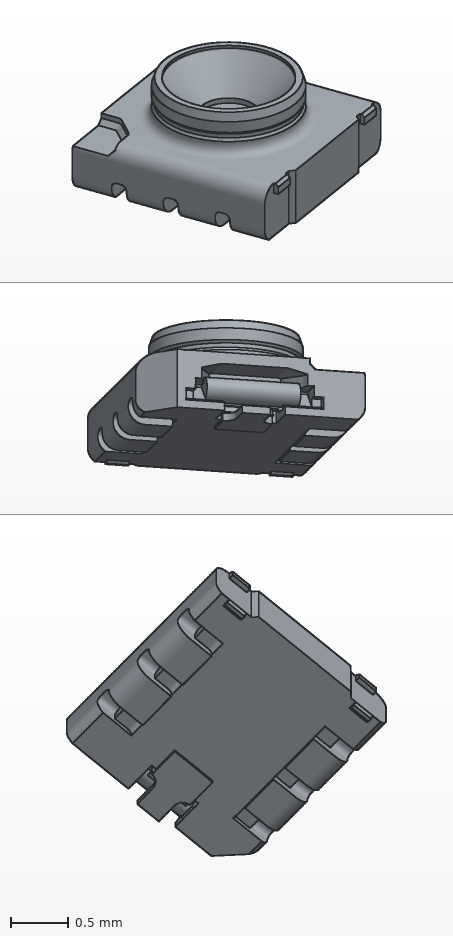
import cadquery as cq
import math


body_side = 2.0
half_side = body_side / 2
body_top = 0.55
standoff = 0.025
edge_radius = 0.15
corner_cut = 0.3
overall_length = 2.05
total_height = 0.95
overlap = 0.02

end_recess = 0.045
raised_half_width = 0.541
ear_inner = 0.642
ear_outer = 0.845
ear_bottom = 0.45
ear_chamfer = 0.029
ear_foot_width = 0.082
ear_foot_taper = 0.025

notch_centers = (-0.525, 0.0, 0.525)
notch_width = 0.15
notch_top = 0.207
notch_depth = 0.205
notch_round = 0.055
slot_top = 0.098
slot_round = 0.043
pad_inner = 0.6

key_x = -0.592
key_y = -0.5
key_diagonal = 0.207
key_floor = 0.45
key_round = 0.1
key_chamfer = 0.05

ring_radius = 0.676
ring_top_radius = 0.648
neck_radius = 0.658
groove_bottom = 0.672
groove_floor_low = 0.7
groove_floor_high = 0.738
ring_bottom = 0.763
ring_shoulder = 0.87
root_radius = 0.1
bore_radius = 0.585
bore_lip_bottom = 0.922
cone_top_radius = 0.576
cone_top = 0.908
cone_bottom_radius = 0.265
cone_bottom = 0.599

opening_floor = 0.096
opening_floor_inner = 0.131
opening_depth = 0.078
opening_top = 0.447
opening_top_half = 0.3
opening_shoulder = 0.402
opening_shoulder_half = 0.48
throat_half = 0.324
throat_mouth_half = 0.455
middle_step = 0.301
middle_step_half = 0.535
side_ramp_top = 0.28
lower_step = 0.205
lower_step_half = 0.621
lead_gap_half = 0.275
inner_wall = -0.78
throat_wall = -0.655
gap_wall = -0.697

roll_radius = 0.109
roll_half_length = 0.425
roll_x = -0.86
roll_z = 0.24
lead_tip = half_side - overall_length
lead_half = 0.127
lead_wide_half = 0.223
lead_thickness = 0.068
lead_flare_end = -0.75
lead_end = -0.45
riser_round = 0.055


def box(x0, x1, y0, y1, z0, z1):
    """Axis-aligned block between two opposite corners."""
    return cq.Workplane("XY").box(x1 - x0, y1 - y0, z1 - z0, centered=False).translate((x0, y0, z0))


def mirrored(solid):
    """A solid together with its mirror image across the XZ plane."""
    return solid.union(solid.mirror("XZ"))


def make_body():
    recess_x = half_side - end_recess
    raised_root = raised_half_width + end_recess
    outline = [
        (-half_side, -half_side),
        (recess_x, -half_side),
        (recess_x, -raised_root),
        (half_side, -raised_half_width),
        (half_side, raised_half_width),
        (recess_x, raised_root),
        (recess_x, half_side),
        (corner_cut - half_side, half_side),
        (-half_side, half_side - corner_cut),
    ]
    plate = cq.Workplane("XY").polyline(outline).close().extrude(body_top)
    rounded = box(-half_side, half_side, -half_side, half_side, 0, body_top)
    return plate.intersect(rounded.edges("|X").fillet(edge_radius))


def underside_relief():
    """Everything under the body except the pads between the notches."""
    relief = box(-half_side, half_side, -half_side, half_side, 0, standoff)
    for left, right in zip(notch_centers, notch_centers[1:]):
        pad = box(left + notch_width / 2, right - notch_width / 2, pad_inner, half_side, 0, standoff)
        relief = relief.cut(mirrored(pad))
    return relief


def notches():
    cutters = cq.Workplane("XY")
    for center in notch_centers:
        left = center - notch_width / 2
        right = center + notch_width / 2
        arch = box(left, right, half_side - notch_depth, half_side, 0, notch_top)
        arch = arch.edges("|Y and >Z").fillet(notch_round)
        slot = box(left, right, pad_inner, half_side, 0, slot_top)
        slot = slot.edges("|X and >Z and <Y").fillet(slot_round)
        cutters = cutters.add(mirrored(arch.union(slot)))
    return cutters.combine()


def key_recess():
    outside = -2 * half_side
    outline = [
        (outside, outside),
        (key_x, outside),
        (key_x, key_y - key_diagonal),
        (key_x - key_diagonal, key_y),
        (outside, key_y),
    ]
    recess = cq.Workplane("XY").workplane(offset=key_floor).polyline(outline).close()
    recess = recess.extrude(body_top - key_floor)
    inner_corners = cq.selectors.BoxSelector((-half_side, -half_side, 0), (0, 0, body_top))
    recess = recess.edges("|Z").edges(inner_corners).fillet(key_round)
    return recess.faces("<Z").edges().chamfer(key_chamfer)


def receptacle():
    root_top = body_top + root_radius
    root_x = ring_radius + root_radius
    root_mid = root_radius * (1 - math.sqrt(0.5))
    profile = (
        cq.Workplane("XZ")
        .moveTo(0, body_top - overlap)
        .lineTo(root_x, body_top - overlap)
        .lineTo(root_x, body_top)
        .threePointArc((ring_radius + root_mid, body_top + root_mid), (ring_radius, root_top))
        .lineTo(ring_radius, groove_bottom)
        .lineTo(neck_radius, groove_floor_low)
        .lineTo(neck_radius, groove_floor_high)
        .lineTo(ring_radius, ring_bottom)
        .lineTo(ring_radius, ring_shoulder)
        .lineTo(ring_top_radius, total_height)
        .lineTo(bore_radius, total_height)
        .lineTo(bore_radius, bore_lip_bottom)
        .lineTo(cone_top_radius, cone_top)
        .lineTo(cone_bottom_radius, cone_bottom)
        .lineTo(cone_bottom_radius, body_top)
        .lineTo(0, body_top)
        .close()
    )
    return profile.revolve(360, (0, 0, 0), (0, 1, 0))


def opening():
    """Stepped mouth in the -X end, the narrowing throat behind it and the gap around the lead."""
    half_outline = [
        (lower_step_half, opening_floor),
        (lower_step_half, lower_step),
        (middle_step_half, lower_step),
        (middle_step_half, middle_step),
        (opening_shoulder_half, middle_step),
        (opening_shoulder_half, opening_shoulder),
        (opening_top_half, opening_top),
    ]
    outline = half_outline + [(-y, z) for y, z in reversed(half_outline)]
    front = cq.Workplane("YZ").workplane(offset=-half_side).polyline(outline).close()
    silhouette = front.extrude(throat_wall + half_side)
    mouth_back = opening_depth - half_side
    lower = box(-half_side, mouth_back, -lower_step_half, lower_step_half, opening_floor, lower_step)
    middle = box(-half_side, inner_wall, -middle_step_half, middle_step_half, opening_floor, middle_step)
    throat_plan = [
        (-half_side, -opening_shoulder_half),
        (mouth_back, -throat_mouth_half),
        (throat_wall, -throat_half),
        (throat_wall, throat_half),
        (mouth_back, throat_mouth_half),
        (-half_side, opening_shoulder_half),
    ]
    throat = cq.Workplane("XY").workplane(offset=middle_step).polyline(throat_plan).close()
    throat = throat.extrude(opening_top - middle_step)
    cavity = silhouette.intersect(lower.union(middle).union(throat))
    front_ramp = (
        cq.Workplane("XZ")
        .polyline([
            (-half_side, opening_floor),
            (mouth_back, opening_floor_inner),
            (mouth_back, opening_floor),
        ])
        .close()
        .extrude(lower_step_half, both=True)
    )
    side_ramp = (
        cq.Workplane("XZ")
        .polyline([
            (mouth_back, opening_floor),
            (mouth_back, opening_floor_inner),
            (inner_wall, side_ramp_top),
            (inner_wall, opening_floor),
        ])
        .close()
        .extrude(roll_half_length - middle_step_half)
        .translate((0, roll_half_length, 0))
    )
    gap = box(-half_side, gap_wall, -lead_gap_half, lead_gap_half, 0, opening_floor_inner)
    return cavity.cut(front_ramp).cut(mirrored(side_ramp)).union(gap)


def contact():
    """Rolled spring contact with its flat solder lead."""
    roll = (
        cq.Workplane("XZ")
        .center(roll_x, roll_z)
        .circle(roll_radius)
        .extrude(roll_half_length, both=True)
    )
    riser_mid = riser_round * math.sqrt(0.5)
    flare_radius = lead_wide_half - lead_half
    flare_start = lead_flare_end - flare_radius
    flare_mid = flare_radius * math.sqrt(0.5)
    lead = (
        cq.Workplane("XY")
        .moveTo(lead_tip, -lead_half)
        .lineTo(flare_start, -lead_half)
        .threePointArc((flare_start + flare_mid, flare_mid - lead_wide_half), (lead_flare_end, -lead_wide_half))
        .lineTo(lead_end, -lead_wide_half)
        .lineTo(lead_end, lead_wide_half)
        .lineTo(lead_flare_end, lead_wide_half)
        .threePointArc((flare_start + flare_mid, lead_wide_half - flare_mid), (flare_start, lead_half))
        .lineTo(lead_tip, lead_half)
        .close()
        .extrude(lead_thickness)
    )
    riser = (
        cq.Workplane("XZ")
        .moveTo(lead_flare_end - riser_round, lead_thickness)
        .threePointArc(
            (lead_flare_end - riser_round + riser_mid, lead_thickness + riser_round - riser_mid),
            (lead_flare_end, lead_thickness + riser_round),
        )
        .lineTo(lead_flare_end, roll_z)
        .lineTo(gap_wall, roll_z)
        .lineTo(gap_wall, lead_thickness)
        .close()
        .extrude(lead_wide_half, both=True)
    )
    return roll.union(lead).union(riser)


def ears():
    """Metal ears high on the +X end, beside its raised middle, with tapered feet below them."""
    ear_root = half_side - end_recess
    ear = box(ear_root - overlap, half_side, ear_inner, ear_outer, ear_bottom, body_top)
    ear = ear.edges("|Y and >X and >Z").chamfer(ear_chamfer)
    foot_start = ear_root - ear_foot_width
    foot = (
        cq.Workplane("XZ")
        .polyline([
            (foot_start, standoff),
            (foot_start + ear_foot_taper, 0),
            (ear_root - ear_foot_taper, 0),
            (ear_root, standoff),
        ])
        .close()
        .extrude(-(ear_outer - ear_inner))
        .translate((0, ear_inner, 0))
    )
    return mirrored(ear.union(foot))


result = make_body().cut(underside_relief()).cut(notches()).cut(key_recess()).cut(opening())
result = result.union(receptacle()).union(contact()).union(ears())